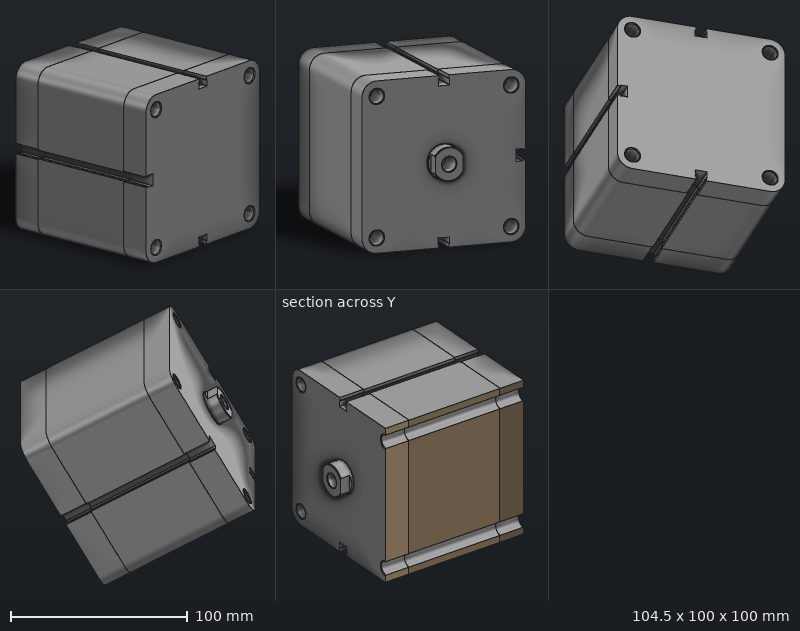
import cadquery as cq
import math


overall_length = 104.5
side = 100.0
rod_projection = 7.9
cap_length = 16.5
corner_radius = 9.0
body_length = overall_length - rod_projection
tube_length = body_length - 2 * cap_length

mount_hole_diameter = 8.5
mount_hole_chamfer = 0.5
mount_hole_offset = side / 2 - corner_radius

slot_depth = 6.0
slot_lip_depth = 2.3
slot_undercut = 0.4
cap_slot_opening = 6.2
tube_slot_opening = 5.2
slot_directions = (0, 90, 270)

rod_diameter = 20.0
rod_end_chamfer = 0.4
rod_bore_chamfer = 0.5
flat_width = 17.0
flat_length = 6.3
flat_runout = 0.7
rod_hole_diameter = 8.6
rod_hole_depth = 15.7
rod_hole_chamfer = 0.4
drill_point_angle = 120.0


def mount_hole_points():
    offsets = (-mount_hole_offset, mount_hole_offset)
    return [(y, z) for y in offsets for z in offsets]


def rounded_block(length):
    """Square block with rounded long edges, from X = 0 to X = length."""
    block = cq.Workplane("YZ").rect(side, side).extrude(length)
    return block.edges("|X").fillet(corner_radius)


def t_slot(opening, length):
    """T-slot cutter on the -Y face, running along X."""
    channel_width = opening + 2 * slot_undercut
    face_y = -side / 2
    lip = (
        cq.Workplane("YZ")
        .center(face_y + slot_depth / 2, 0)
        .rect(slot_depth, opening)
        .extrude(length)
    )
    channel_depth = slot_depth - slot_lip_depth
    channel = (
        cq.Workplane("YZ")
        .center(face_y + slot_lip_depth + channel_depth / 2, 0)
        .rect(channel_depth, channel_width)
        .extrude(length)
    )
    return lip.union(channel)


def profile_section(length, slot_opening):
    """Block with its T-slots and the four mounting holes, shared by the tube and the caps."""
    section = rounded_block(length)
    slot = t_slot(slot_opening, length)
    for angle in slot_directions:
        section = section.cut(slot.rotate((0, 0, 0), (1, 0, 0), angle))
    holes = (
        cq.Workplane("YZ")
        .pushPoints(mount_hole_points())
        .circle(mount_hole_diameter / 2)
        .extrude(length)
    )
    return section.cut(holes)


def countersink(diameter, chamfer):
    """Cone cutter at X = 0 that chamfers the mouth of a hole on the X axis."""
    radius = diameter / 2
    return cq.Workplane("XY").add(
        cq.Solid.makeCone(radius + chamfer, radius, chamfer, dir=cq.Vector(1, 0, 0))
    )


def make_cap():
    """Cap with its outer face at X = 0 and chamfered mounting holes."""
    cap = profile_section(cap_length, cap_slot_opening)
    for y, z in mount_hole_points():
        cap = cap.cut(countersink(mount_hole_diameter, mount_hole_chamfer).translate((0, y, z)))
    return cap


def make_front_cap():
    """Cap with a chamfered bore for the piston rod."""
    bore = cq.Workplane("YZ").circle(rod_diameter / 2).extrude(cap_length)
    return make_cap().cut(bore).cut(countersink(rod_diameter, rod_bore_chamfer))


def make_rear_cap():
    """Plain cap, turned so that its outer face looks along +X."""
    return make_cap().mirror("YZ").translate((body_length, 0, 0))


def make_tube():
    return profile_section(tube_length, tube_slot_opening).translate((cap_length, 0, 0))


def rod_flat():
    """Cutter for the wrench flat on the +Y side, with its sloped run-out."""
    tip_x = -rod_projection
    flat_y = flat_width / 2
    rod_y = rod_diameter / 2
    flat_end_x = tip_x + flat_length
    return (
        cq.Workplane("XY")
        .moveTo(tip_x, flat_y)
        .lineTo(flat_end_x, flat_y)
        .lineTo(flat_end_x + flat_runout, rod_y)
        .lineTo(tip_x, rod_y)
        .close()
        .extrude(rod_y, both=True)
    )


def rod_hole():
    """Chamfered blind hole with a drill point, starting at the rod tip."""
    radius = rod_hole_diameter / 2
    point_length = radius / math.tan(math.radians(drill_point_angle / 2))
    profile = (
        cq.Workplane("XY")
        .moveTo(0, 0)
        .lineTo(0, radius + rod_hole_chamfer)
        .lineTo(rod_hole_chamfer, radius)
        .lineTo(rod_hole_depth, radius)
        .lineTo(rod_hole_depth + point_length, 0)
        .close()
    )
    return profile.revolve(360, (0, 0, 0), (1, 0, 0)).translate((-rod_projection, 0, 0))


def make_piston_rod():
    """Rod that fills the front cap's bore and projects from it towards -X."""
    rod = (
        cq.Workplane("YZ", origin=(-rod_projection, 0, 0))
        .circle(rod_diameter / 2)
        .extrude(rod_projection + cap_length)
        .faces("<X")
        .chamfer(rod_end_chamfer)
    )
    flat = rod_flat()
    return rod.cut(flat).cut(flat.mirror("XZ")).cut(rod_hole())


front_cap = make_front_cap()
tube = make_tube()
rear_cap = make_rear_cap()
piston_rod = make_piston_rod()

result = cq.Compound.makeCompound(
    [front_cap.val(), tube.val(), rear_cap.val(), piston_rod.val()]
)